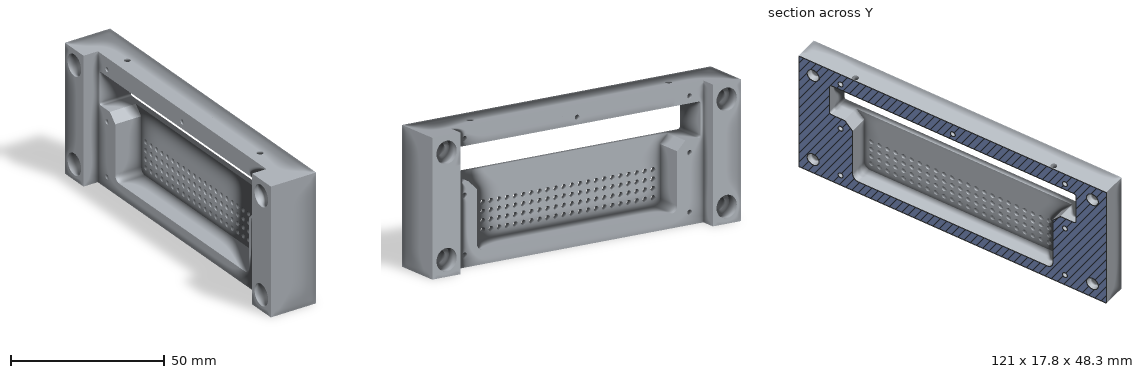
import cadquery as cq
import math

LENGTH = 121.03
DEPTH = 17.78
HEIGHT = 48.26
BACK = DEPTH / 2
FRONT = -DEPTH / 2
BOTTOM = -HEIGHT / 2
TOP = HEIGHT / 2

RAIL_WIDTH = 10.99
RECESS_DEPTH = 5.59
RECESS_WIDTH = LENGTH - 2 * RAIL_WIDTH
PLATE_FRONT = FRONT + RECESS_DEPTH

WINDOW_WIDTH = 96.8
WINDOW_BOTTOM = BOTTOM + 29.03
WINDOW_TOP = BOTTOM + 41.4
WINDOW_RADIUS = 0.8

POCKET_WIDTH = 78.5
POCKET_BOTTOM = BOTTOM + 5.0
POCKET_RADIUS = 2.2
POCKET_CHAMFER = 3.175
GRILLE_THICKNESS = 2.03

GRILLE_DIAMETER = 1.84
GRILLE_PITCH = 3.175
GRILLE_COLUMNS = 24
GRILLE_ROWS = 4
GRILLE_FIRST_ROW = BOTTOM + 7.95

MOUNT_DIAMETER = 4.5
COUNTERBORE_DIAMETER = 7.94
COUNTERBORE_DEPTH = 4.57
MOUNT_SPACING_X = 109.8
MOUNT_SPACING_Z = 36.5

DRILL_POINT_ANGLE = 118
SCREW_DIAMETER = 1.78
SCREW_DEPTH = 6.35
SCREW_X = 44.1
SCREW_ROWS = (BOTTOM + 4.3, BOTTOM + 24.6, BOTTOM + 43.9)
TOP_SCREW_DIAMETER = 2.26
TOP_SCREW_DEPTH = 5.0
TOP_SCREW_X = 38.95
TOP_SCREW_Y = BACK - 7.62


def box(width, y_front, y_back, z_bottom, z_top):
    """Box centred in X, between the given Y and Z limits."""
    size = (width, y_back - y_front, z_top - z_bottom)
    return cq.Workplane("XY").box(*size).translate((0, (y_front + y_back) / 2, (z_bottom + z_top) / 2))


def holes_along_y(points, diameter, y_start, depth):
    """Cylinders at the (x, z) points, running from y_start towards +Y."""
    plane = cq.Workplane("XZ", origin=(0, y_start, 0))
    return plane.pushPoints(points).circle(diameter / 2).extrude(-depth)


def window():
    cutter = box(WINDOW_WIDTH, FRONT, BACK, WINDOW_BOTTOM, WINDOW_TOP)
    return cutter.edges("|Y").fillet(WINDOW_RADIUS)


def pocket():
    half = POCKET_WIDTH / 2
    shoulder = WINDOW_BOTTOM - POCKET_CHAMFER
    flare = half + POCKET_CHAMFER
    outline = [
        (-half, POCKET_BOTTOM),
        (half, POCKET_BOTTOM),
        (half, shoulder),
        (flare, WINDOW_BOTTOM),
        (-flare, WINDOW_BOTTOM),
        (-half, shoulder),
    ]
    pocket_depth = BACK - GRILLE_THICKNESS - PLATE_FRONT
    plane = cq.Workplane("XZ", origin=(0, PLATE_FRONT, 0))
    cutter = plane.polyline(outline).close().extrude(-pocket_depth)
    floor_corners = cutter.edges("|Y").edges("<Z")
    return floor_corners.fillet(POCKET_RADIUS)


def grille_holes():
    first_column = -(GRILLE_COLUMNS - 1) * GRILLE_PITCH / 2
    points = [
        (first_column + column * GRILLE_PITCH, GRILLE_FIRST_ROW + row * GRILLE_PITCH)
        for column in range(GRILLE_COLUMNS)
        for row in range(GRILLE_ROWS)
    ]
    return holes_along_y(points, GRILLE_DIAMETER, BACK - GRILLE_THICKNESS, GRILLE_THICKNESS)


def mounting_holes():
    points = [
        (side * MOUNT_SPACING_X / 2, level * MOUNT_SPACING_Z / 2)
        for side in (-1, 1)
        for level in (-1, 1)
    ]
    through = holes_along_y(points, MOUNT_DIAMETER, FRONT, DEPTH)
    return through.union(holes_along_y(points, COUNTERBORE_DIAMETER, FRONT, COUNTERBORE_DEPTH))


def drilled_holes(points, direction, diameter, depth):
    """Blind drilled holes that start at the (x, y, z) points and run along direction."""
    radius = diameter / 2
    tip_length = radius / math.tan(math.radians(DRILL_POINT_ANGLE / 2))
    axis = cq.Vector(*direction)
    cutters = cq.Workplane("XY")
    for point in points:
        start = cq.Vector(*point)
        bore = cq.Solid.makeCylinder(radius, depth, start, axis)
        tip = cq.Solid.makeCone(radius, 0, tip_length, start + axis * depth, axis)
        cutters = cutters.add(bore.fuse(tip))
    return cutters.combine()


def front_screw_holes():
    points = [(side * SCREW_X, PLATE_FRONT, z) for side in (-1, 1) for z in SCREW_ROWS]
    points.append((0, PLATE_FRONT, SCREW_ROWS[-1]))
    return drilled_holes(points, (0, 1, 0), SCREW_DIAMETER, SCREW_DEPTH)


def top_screw_holes():
    points = [(side * TOP_SCREW_X, TOP_SCREW_Y, TOP) for side in (-1, 1)]
    return drilled_holes(points, (0, 0, -1), TOP_SCREW_DIAMETER, TOP_SCREW_DEPTH)


result = (
    box(LENGTH, FRONT, BACK, BOTTOM, TOP)
    .cut(box(RECESS_WIDTH, FRONT, PLATE_FRONT, BOTTOM, TOP))
    .cut(window())
    .cut(pocket())
    .cut(grille_holes())
    .cut(mounting_holes())
    .cut(front_screw_holes())
    .cut(top_screw_holes())
)